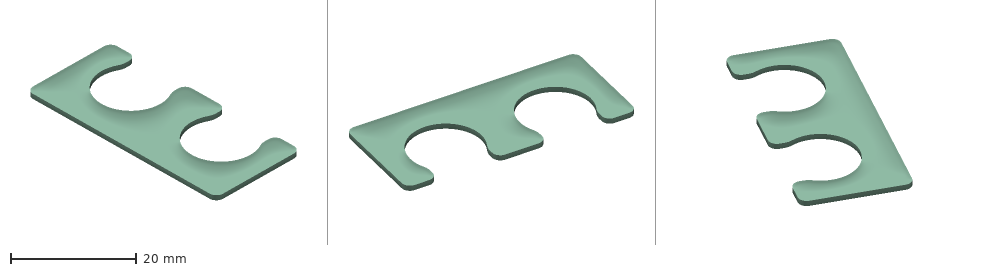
import cadquery as cq

length = 42.85
width = 19.05
thickness = 1.0
corner_radius = 1.5

pocket_radius = 6.6
pocket_spacing = 20.3
pocket_depth = 13.3
neck_width = 11.05
lip_radius = 1.5
throat_radius = 3.0

open_edge_y = width / 2
pocket_center_y = open_edge_y - pocket_depth + pocket_radius


def make_plate():
    plate = cq.Workplane("XY").box(length, width, thickness, centered=(True, True, False))
    return plate.edges("|Z").fillet(corner_radius)


def make_pocket(center_x):
    """Round pocket joined to a straight neck, with the throat edges blended."""
    neck_length = open_edge_y - pocket_center_y
    round_part = cq.Workplane("XY").center(center_x, pocket_center_y).circle(pocket_radius).extrude(thickness)
    neck = (
        cq.Workplane("XY")
        .center(center_x, pocket_center_y + neck_length / 2)
        .rect(neck_width, neck_length)
        .extrude(thickness)
    )
    pocket = round_part.union(neck)
    throat_y = pocket_center_y + (pocket_radius**2 - (neck_width / 2) ** 2) ** 0.5
    for side in (-1, 1):
        throat = (center_x + side * neck_width / 2, throat_y, thickness / 2)
        pocket = pocket.edges(cq.NearestToPointSelector(throat)).fillet(throat_radius)
    return pocket


def round_lips(plate, center_x):
    for side in (-1, 1):
        lip = (center_x + side * neck_width / 2, open_edge_y, thickness / 2)
        plate = plate.edges(cq.NearestToPointSelector(lip)).fillet(lip_radius)
    return plate


result = make_plate()
for pocket_x in (-pocket_spacing / 2, pocket_spacing / 2):
    result = result.cut(make_pocket(pocket_x))
    result = round_lips(result, pocket_x)